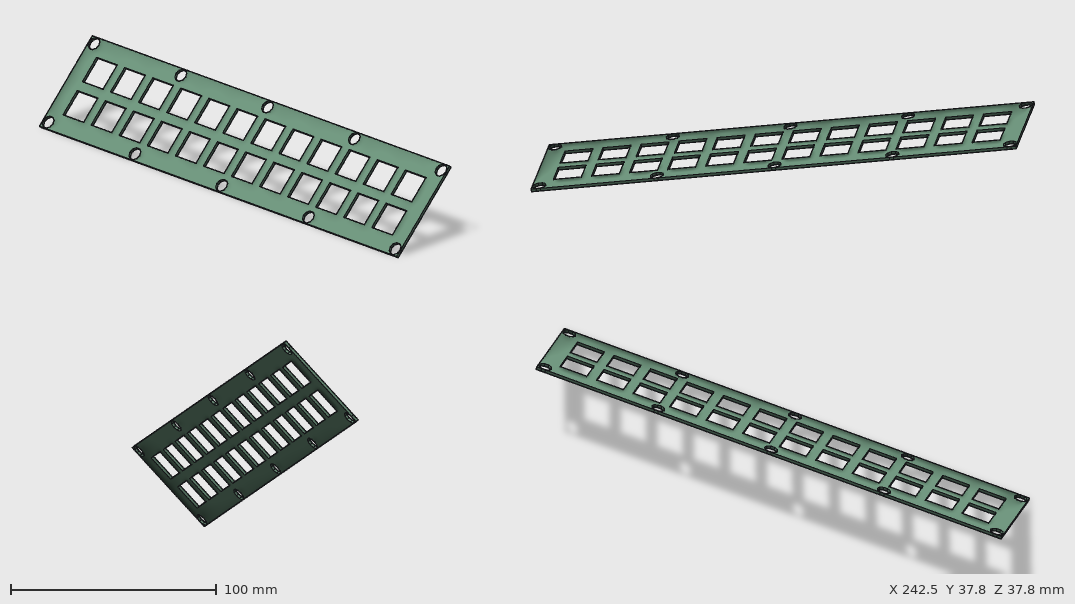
import cadquery as cq
import math

length = 242.5
tilted_height = 37.8
tilt_angle = 45.0
thickness = 1.48
tilt = math.radians(tilt_angle)
width = (tilted_height - thickness * math.cos(tilt)) / math.sin(tilt)

window_columns = 12
window_rows = 2
first_to_last_window = 209.5
window_web = 5.0
window_pitch = first_to_last_window / (window_columns - 1)
window_size = window_pitch - window_web

hole_columns = 5
hole_rows = 2
hole_sides = 10
hole_corner_diameter = 6.5
first_to_last_hole = 235.5
hole_row_distance = 45.1
hole_spacing = first_to_last_hole / (hole_columns - 1)


def make_plate():
    return cq.Workplane("XY").box(length, width, thickness)


def cut_windows(plate):
    return (
        plate.faces(">Z").workplane(origin=(0, 0, 0))
        .rarray(window_pitch, window_pitch, window_columns, window_rows)
        .rect(window_size, window_size)
        .cutThruAll()
    )


def cut_mounting_holes(plate):
    return (
        plate.faces(">Z").workplane(origin=(0, 0, 0))
        .rarray(hole_spacing, hole_row_distance, hole_columns, hole_rows)
        .polygon(hole_sides, hole_corner_diameter)
        .cutThruAll()
    )


flat_plate = cut_mounting_holes(cut_windows(make_plate()))

result = flat_plate.rotate((0, 0, 0), (1, 0, 0), tilt_angle)